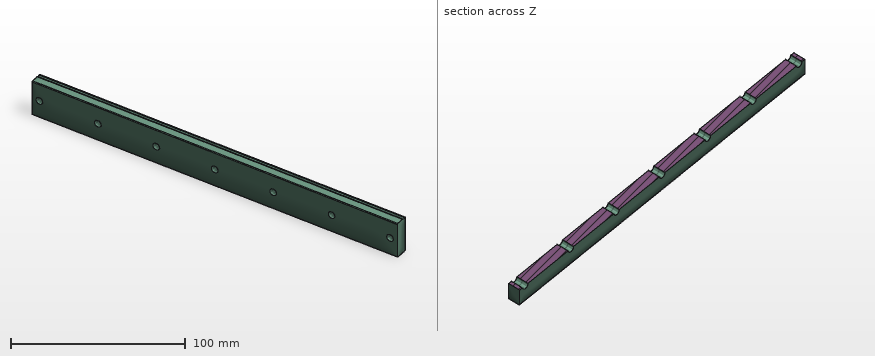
import cadquery as cq

length = 250.0
thickness = 8.5
height = 24.0

hole_count = 7
hole_pitch = 40.0
hole_diameter = 4.5

groove_width = 2.0
groove_depth = 0.5
groove_back_margin = 1.2

bevel = 0.5


def make_bar():
    """Plain bar centred on the origin with its long edges bevelled."""
    bar = cq.Workplane("XY").box(length, thickness, height)
    return bar.edges("|X").chamfer(bevel)


def make_holes():
    """Evenly spaced cylinders running through the thickness."""
    return (
        cq.Workplane("XZ")
        .rarray(hole_pitch, 2.5, hole_count, 1)
        .circle(hole_diameter / 2)
        .extrude(thickness, both=True)
    )


def make_groove():
    """Full-length triangular prism to be removed from the top face."""
    top = height / 2
    back_lip = thickness / 2 - groove_back_margin
    front_lip = back_lip - groove_width
    bottom = (back_lip - groove_width / 2, top - groove_depth)
    return (
        cq.Workplane("YZ")
        .polyline([(front_lip, top), bottom, (back_lip, top)])
        .close()
        .extrude(length / 2, both=True)
    )


result = make_bar().cut(make_holes()).cut(make_groove())